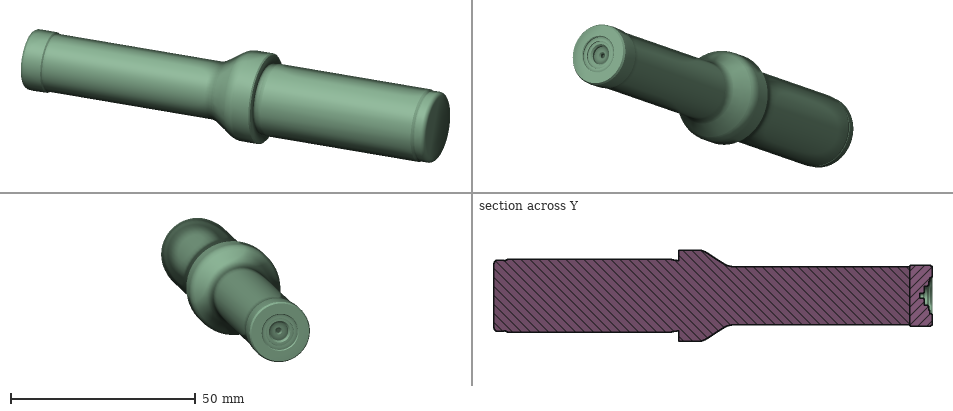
import cadquery as cq
import math

TOTAL_LENGTH = 119.0

HEAD_LENGTH = 6.2
HEAD_RADIUS = 8.5
HEAD_CROWN = 0.1
HEAD_FRONT_CHAMFER_LENGTH = 0.6
HEAD_FRONT_CHAMFER_RISE = 0.4
HEAD_REAR_CHAMFER_LENGTH = 0.4

RIM_CHAMFER = 0.2
RECESS_RADIUS = 4.9
RECESS_DEPTH = 0.6
STEP_RADIUS = 3.8
STEP_DEPTH = 0.4
BORE_RADIUS = 2.5
BORE_CHAMFER = 0.5
BORE_DEPTH = 1.2
PILOT_RADIUS = 0.6
PILOT_CHAMFER = 0.4
PILOT_DEPTH = 1.2

NECK_RADIUS = 16.0 / 2
COLLAR_RADIUS = 25.0 / 2
FLARE_START = 53.9
FLARE_ANGLE = math.radians(33)
FLARE_BLEND_RADIUS = 5.0
COLLAR_END = 68.9
COLLAR_CHAMFER = 0.4

SHANK_RADIUS = 20.0 / 2
RELIEF_RADIUS = 19.5 / 2
GROOVE_WIDTH = 0.4
GROOVE_DEPTH = 0.1
FRONT_RELIEF_LENGTH = 1.2
FRONT_TAPER_LENGTH = 1.1
REAR_RELIEF_START = 115.8
REAR_TAPER_LENGTH = 0.7
REAR_ROUND_RADIUS = 1.2


def revolve_about_x(profile):
    """Turn a closed (x, radius) profile about the X axis."""
    return profile.close().revolve(360, (0, 0, 0), (1, 0, 0))


def make_head():
    """Slightly crowned, chamfered head with a stepped, concentric recess in its front face."""
    recess_floor = RECESS_DEPTH
    step_floor = recess_floor + STEP_DEPTH
    bore_floor = step_floor + BORE_DEPTH
    pilot_floor = bore_floor + PILOT_DEPTH
    crown_start = HEAD_FRONT_CHAMFER_LENGTH
    crown_end = HEAD_LENGTH - HEAD_REAR_CHAMFER_LENGTH
    crown_edge_radius = HEAD_RADIUS - HEAD_CROWN
    profile = (
        cq.Workplane("XY")
        .moveTo(HEAD_LENGTH, 0)
        .lineTo(HEAD_LENGTH, NECK_RADIUS)
        .lineTo(crown_end, crown_edge_radius)
        .threePointArc(
            ((crown_start + crown_end) / 2, HEAD_RADIUS),
            (crown_start, crown_edge_radius),
        )
        .lineTo(0, crown_edge_radius - HEAD_FRONT_CHAMFER_RISE)
        .lineTo(0, RECESS_RADIUS + RIM_CHAMFER)
        .lineTo(RIM_CHAMFER, RECESS_RADIUS)
        .lineTo(recess_floor, RECESS_RADIUS)
        .lineTo(recess_floor, STEP_RADIUS)
        .lineTo(step_floor, STEP_RADIUS)
        .lineTo(step_floor, BORE_RADIUS + BORE_CHAMFER)
        .lineTo(step_floor + BORE_CHAMFER, BORE_RADIUS)
        .lineTo(bore_floor, BORE_RADIUS)
        .lineTo(bore_floor, PILOT_RADIUS + PILOT_CHAMFER)
        .lineTo(bore_floor + PILOT_CHAMFER, PILOT_RADIUS)
        .lineTo(pilot_floor, PILOT_RADIUS)
        .lineTo(pilot_floor, 0)
    )
    return revolve_about_x(profile)


def make_shank():
    """Neck, blended conical flare, collar and relieved rear shank."""
    blend_run = FLARE_BLEND_RADIUS * math.sin(FLARE_ANGLE)
    blend_rise = FLARE_BLEND_RADIUS * (1 - math.cos(FLARE_ANGLE))
    mid_run = FLARE_BLEND_RADIUS * math.sin(FLARE_ANGLE / 2)
    mid_rise = FLARE_BLEND_RADIUS * (1 - math.cos(FLARE_ANGLE / 2))
    cone_rise = COLLAR_RADIUS - NECK_RADIUS - 2 * blend_rise
    cone_run = cone_rise / math.tan(FLARE_ANGLE)
    flare_end = FLARE_START + 2 * blend_run + cone_run

    groove_radius = RELIEF_RADIUS - GROOVE_DEPTH
    front_groove_end = COLLAR_END + GROOVE_WIDTH
    front_relief_end = COLLAR_END + FRONT_RELIEF_LENGTH
    rear_groove_end = REAR_RELIEF_START + GROOVE_WIDTH
    round_inset = REAR_ROUND_RADIUS * (1 - math.sqrt(0.5))
    profile = (
        cq.Workplane("XY")
        .moveTo(HEAD_LENGTH, 0)
        .lineTo(HEAD_LENGTH, NECK_RADIUS)
        .lineTo(FLARE_START, NECK_RADIUS)
        .threePointArc(
            (FLARE_START + mid_run, NECK_RADIUS + mid_rise),
            (FLARE_START + blend_run, NECK_RADIUS + blend_rise),
        )
        .lineTo(flare_end - blend_run, COLLAR_RADIUS - blend_rise)
        .threePointArc(
            (flare_end - mid_run, COLLAR_RADIUS - mid_rise),
            (flare_end, COLLAR_RADIUS),
        )
        .lineTo(COLLAR_END - COLLAR_CHAMFER, COLLAR_RADIUS)
        .lineTo(COLLAR_END, COLLAR_RADIUS - COLLAR_CHAMFER)
        .lineTo(COLLAR_END, groove_radius)
        .lineTo(front_groove_end, groove_radius)
        .lineTo(front_groove_end, RELIEF_RADIUS)
        .lineTo(front_relief_end, RELIEF_RADIUS)
        .lineTo(front_relief_end + FRONT_TAPER_LENGTH, SHANK_RADIUS)
        .lineTo(REAR_RELIEF_START - REAR_TAPER_LENGTH, SHANK_RADIUS)
        .lineTo(REAR_RELIEF_START, groove_radius)
        .lineTo(rear_groove_end, groove_radius)
        .lineTo(rear_groove_end, RELIEF_RADIUS)
        .lineTo(TOTAL_LENGTH - REAR_ROUND_RADIUS, RELIEF_RADIUS)
        .threePointArc(
            (TOTAL_LENGTH - round_inset, RELIEF_RADIUS - round_inset),
            (TOTAL_LENGTH, RELIEF_RADIUS - REAR_ROUND_RADIUS),
        )
        .lineTo(TOTAL_LENGTH, 0)
    )
    return revolve_about_x(profile)


head = make_head()
shank = make_shank()

result = cq.Compound.makeCompound([head.val(), shank.val()])